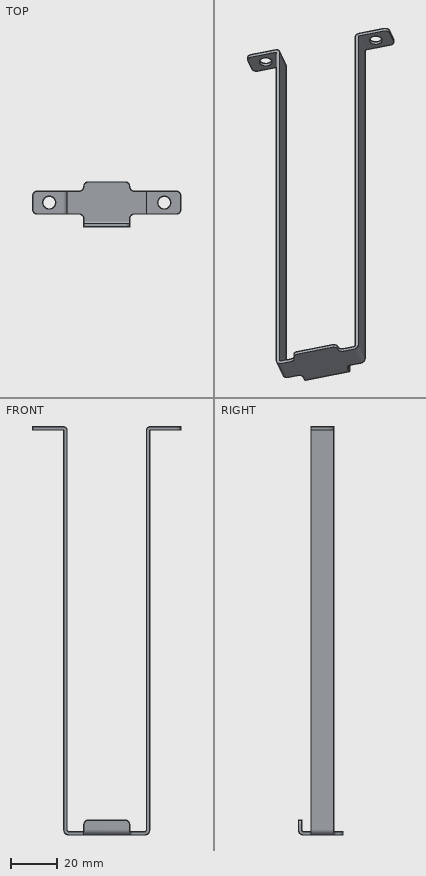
import cadquery as cq
import math

thickness = 1.5
overall_length = 64.4
overall_height = 177.5
strip_width = 10.0

leg_inner_span = 34.4
hole_spacing = 50.0
hole_diameter = 5.5
flange_corner_radius = 2.0
flange_bend_radius = 0.2
base_bend_radius = 0.74

plate_length = 20.0
plate_depth = 19.5
plate_back = 9.0
plate_front = plate_back - plate_depth
plate_corner_radius = 2.0
neck_fillet_radius = 2.0
lip_height = 6.5
lip_corner_radius = 2.0
lip_bend_radius = base_bend_radius

leg_inner = leg_inner_span / 2
leg_outer = leg_inner + thickness


def bent_strip():
    """Constant-width strip: flange, leg, base, leg, flange, bent from one sheet."""
    half_length = overall_length / 2
    flange_underside = overall_height - thickness
    profile = (
        cq.Workplane("XZ")
        .moveTo(-half_length, overall_height)
        .lineTo(-leg_inner, overall_height)
        .lineTo(-leg_inner, thickness)
        .lineTo(leg_inner, thickness)
        .lineTo(leg_inner, overall_height)
        .lineTo(half_length, overall_height)
        .lineTo(half_length, flange_underside)
        .lineTo(leg_outer, flange_underside)
        .lineTo(leg_outer, 0)
        .lineTo(-leg_outer, 0)
        .lineTo(-leg_outer, flange_underside)
        .lineTo(-half_length, flange_underside)
        .close()
    )
    strip = profile.extrude(strip_width / 2, both=True)

    for side in (-1, 1):
        bends = (
            (leg_inner, thickness, base_bend_radius),
            (leg_outer, 0, base_bend_radius + thickness),
            (leg_outer, flange_underside, flange_bend_radius),
            (leg_inner, overall_height, flange_bend_radius + thickness),
        )
        for x, z, radius in bends:
            bend_edge = cq.selectors.NearestToPointSelector((side * x, 0, z))
            strip = strip.edges("|Y").edges(bend_edge).fillet(radius)

    strip = strip.edges("|Z and (<X or >X)").fillet(flange_corner_radius)
    hole_depth = 2 * thickness
    holes = (
        cq.Workplane("XY", origin=(0, 0, overall_height - hole_depth))
        .pushPoints([(-hole_spacing / 2, 0), (hole_spacing / 2, 0)])
        .circle(hole_diameter / 2)
        .extrude(hole_depth)
    )
    return strip.cut(holes)


def plate_with_lip():
    """Base plate and its upturned lip, as one L-shaped bend."""
    plate = (
        cq.Workplane("YZ")
        .moveTo(plate_back, 0)
        .lineTo(plate_front, 0)
        .lineTo(plate_front, lip_height)
        .lineTo(plate_front + thickness, lip_height)
        .lineTo(plate_front + thickness, thickness)
        .lineTo(plate_back, thickness)
        .close()
        .extrude(plate_length / 2, both=True)
    )
    inner_bend = cq.selectors.NearestToPointSelector((0, plate_front + thickness, thickness))
    outer_bend = cq.selectors.NearestToPointSelector((0, plate_front, 0))
    plate = plate.edges("|X").edges(inner_bend).fillet(lip_bend_radius)
    plate = plate.edges("|X").edges(outer_bend).fillet(lip_bend_radius + thickness)
    plate = plate.edges("|Z and >Y").fillet(plate_corner_radius)
    return plate.edges("|Y and >Z").fillet(lip_corner_radius)


def neck_fillet(side_x, side_y):
    """Concave gusset where the strip meets one side edge of the plate."""
    x = side_x * plate_length / 2
    y = side_y * strip_width / 2
    x_out = x + side_x * neck_fillet_radius
    y_out = y + side_y * neck_fillet_radius
    arc_offset = neck_fillet_radius * math.cos(math.pi / 4)
    arc_middle = (x_out - side_x * arc_offset, y_out - side_y * arc_offset)
    return (
        cq.Workplane("XY")
        .moveTo(x, y)
        .lineTo(x_out, y)
        .threePointArc(arc_middle, (x, y_out))
        .close()
        .extrude(thickness)
    )


result = bent_strip().union(plate_with_lip())
for side_x in (-1, 1):
    for side_y in (-1, 1):
        result = result.union(neck_fillet(side_x, side_y))
result = result.clean()